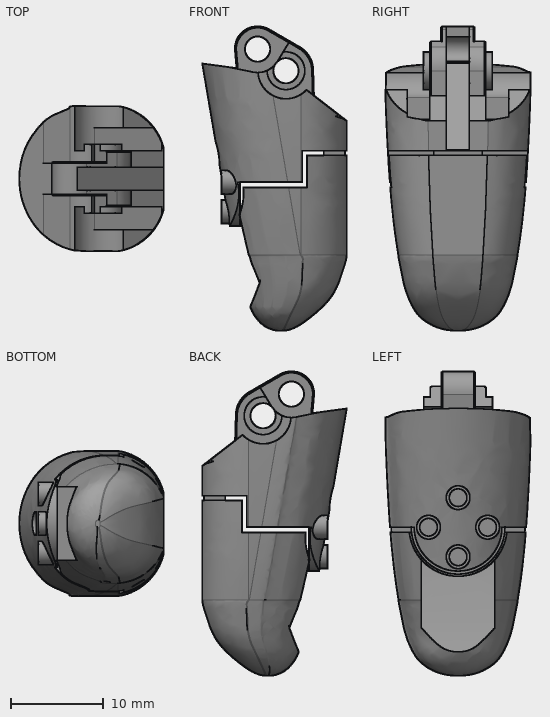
import cadquery as cq
import math

REACH = 32.8

FRONT_LEAN = 0.17
FRONT_TOP_X, FRONT_TOP_Z = -15.6, 28.8
FRONT_BULGE = 7.02
SIDE_FLAT_BACK_X = -4.95
TIP_TOP_Z = 8.2
WALL_LEVELS = [(29.53, 7.85), (26.25, 7.85), (21.65, 7.68), (16.08, 7.35), (12.47, 7.02), (TIP_TOP_Z, 6.43)]
TIP_LEVELS = [
    (7.7, -11.95, -0.05, 6.35),
    (7.22, -11.8, -0.2, 6.27),
    (6.73, -11.6, -0.35, 6.17),
    (5.25, -11.02, -0.85, 5.87),
    (3.95, -10.63, -1.5, 5.48),
    (2.62, -10.43, -2.6, 4.9),
    (1.65, -9.95, -3.7, 4.2),
    (0.82, -9.25, -4.8, 3.15),
    (0.33, -8.53, -5.65, 2.1),
    (0.1, -7.9, -6.27, 1.18),
    (0.0, -7.4, -6.9, 0.4),
]
MIN_SIDE_FLAT = 0.1
TIP_FRONT_SHARE = 0.6
BACK_FLAT_SHARE = 0.42
CORNER_MID_X, CORNER_MID_Y = 0.67, 0.64
ELLIPSE_SPANS = 12

LIP_SLOPE = -0.135
BACK_SLOPE = -0.771
BACK_TOP_Z = 22.6
PAST_BACK_X = 1.65

KNUCKLE_X, KNUCKLE_Z, KNUCKLE_R = -9.6, 30.35, 2.45
LUG_X, LUG_Z, LUG_R = -6.55, 28.02, 2.95
PIN_HOLE_R = 1.35
KNUCKLE_HALF = 1.85
LUG_HALF = 3.02
BOSS_R, BOSS_HALF = 2.05, 3.7
KNUCKLE_GAP_R = 2.53
KNUCKLE_GAP_FRONT_TILT = 11.5
KNUCKLE_GAP_REAR_TILT = 59.0
LUG_GAP_R = 3.02
LUG_GAP_TILT = 18.0
LUG_GAP_HALF = 5.48
HINGE_BASE_Z = 23.62
HINGE_FRONT_X, HINGE_REAR_X = -11.48, -3.48
EDGE_CHAMFER = 0.15

SLOT_HALF = 1.25
SLOT_FRONT_X = -9.32
SLOT_BACK_Z = 19.52

UPPER_STEP_X, UPPER_FRONT_Z, UPPER_BACK_Z = -4.8, 16.0, 19.4
LOWER_STEP_X, LOWER_FRONT_Z, LOWER_BACK_Z = -4.3, 15.45, 18.9
TAB_R, TAB_BACK_X = 4.72, -11.48
POCKET_R, POCKET_FLOOR_X = 5.28, -6.55
BORE_R, BORE_FLOOR_X = 5.05, -3.95
NECK_FRONT_X, NECK_BACK_X, NECK_HALF = -2.5, -0.2, 2.62

TUBE_R, TUBE_BORE_R, TUBE_PITCH_R = 1.28, 0.95, 3.18
TUBE_FACE_X = -13.52
TUBE_BORE_DEPTH = 1.65

PAD_HALF = 3.97
PAD_FLOOR = [(-10.43, 2.55), (-8.4, 8.2), (-6.73, 16.08)]


def polar(x, z, radius, angle):
    """Point at a distance and angle from (x, z) in the XZ plane."""
    return (x + radius * math.cos(angle), z + radius * math.sin(angle))


def prism(outline, y_min, y_max):
    """Closed XZ outline extruded from y_min to y_max."""
    return outline.close().extrude(y_min - y_max).translate((0, y_min, 0))


def xz():
    """Sketch plane for outlines in X and Z."""
    return cq.Workplane("XZ")


def bar(x, z, radius, half):
    """Cylinder along Y, centred on y = 0."""
    return xz().center(x, z).circle(radius).extrude(half, both=True)


def rod(y, z, radius, x_min, x_max):
    """Cylinder along X."""
    return cq.Workplane("YZ", origin=(x_min, y, z)).circle(radius).extrude(x_max - x_min)


def both_sides(outline, inner_half, outer_half):
    """Prisms of an XZ outline on the -Y and +Y sides."""
    solid = prism(outline, inner_half, outer_half)
    return solid.union(solid.mirror("XZ"))


def skin_section(z, front_x, back_x, half_width):
    """Wire of the skin at height z: half ellipse in front, flat sides, round back corners, flat back."""
    if z < TIP_TOP_Z:
        ellipse_x = front_x + TIP_FRONT_SHARE * (back_x - front_x)
        flat_back_x = ellipse_x + MIN_SIDE_FLAT
    else:
        ellipse_x = min(front_x + FRONT_BULGE, SIDE_FLAT_BACK_X - MIN_SIDE_FLAT)
        flat_back_x = SIDE_FLAT_BACK_X
    corner_x = flat_back_x + CORNER_MID_X * (back_x - flat_back_x)
    back_half = BACK_FLAT_SHARE * half_width
    corner_y = back_half + CORNER_MID_Y * (half_width - back_half)
    step = math.pi / ELLIPSE_SPANS
    ellipse = [
        (ellipse_x - (ellipse_x - front_x) * math.sin(i * step), -half_width * math.cos(i * step))
        for i in range(1, ELLIPSE_SPANS + 1)
    ]
    section = (
        cq.Workplane("XY", origin=(0, 0, z))
        .moveTo(ellipse_x, half_width)
        .lineTo(flat_back_x, half_width)
        .threePointArc((corner_x, corner_y), (back_x, back_half))
        .lineTo(back_x, -back_half)
        .threePointArc((corner_x, -corner_y), (flat_back_x, -half_width))
        .lineTo(ellipse_x, -half_width)
        .spline(ellipse, tangents=[(-1, 0), (1, 0)], includeCurrent=True)
    )
    return section.wire().val()


def front_x_at(z):
    """Front face of the wall at height z."""
    return FRONT_TOP_X + FRONT_LEAN * (FRONT_TOP_Z - z)


def build_skin():
    wall = [skin_section(z, front_x_at(z), 0.0, half) for z, half in WALL_LEVELS]
    tip = wall[-1:] + [skin_section(*level) for level in TIP_LEVELS]
    return cq.Workplane(cq.Solid.makeLoft(wall)).union(cq.Workplane(cq.Solid.makeLoft(tip)))


def build_roof_limit():
    """Space below the lip plane and the back slope, above the stepped split."""
    ridge_x = (FRONT_TOP_Z - LIP_SLOPE * FRONT_TOP_X - BACK_TOP_Z) / (BACK_SLOPE - LIP_SLOPE)
    ridge_z = BACK_TOP_Z + BACK_SLOPE * ridge_x
    outline = (
        xz()
        .moveTo(-REACH, FRONT_TOP_Z + LIP_SLOPE * (-REACH - FRONT_TOP_X))
        .lineTo(ridge_x, ridge_z)
        .lineTo(PAST_BACK_X, BACK_TOP_Z + BACK_SLOPE * PAST_BACK_X)
        .lineTo(PAST_BACK_X, UPPER_BACK_Z)
        .lineTo(UPPER_STEP_X, UPPER_BACK_Z)
        .lineTo(UPPER_STEP_X, UPPER_FRONT_Z)
        .lineTo(-REACH, UPPER_FRONT_Z)
    )
    return prism(outline, -REACH, REACH)


def build_hinge_outline():
    """Knuckle and lug circles wrapped by their upper common tangent, with legs into the body."""
    dx, dz = LUG_X - KNUCKLE_X, LUG_Z - KNUCKLE_Z
    normal = math.atan2(dz, dx) + math.acos((KNUCKLE_R - LUG_R) / math.hypot(dx, dz))
    front_mid = (normal + math.pi) / 2
    return (
        xz()
        .moveTo(KNUCKLE_X - KNUCKLE_R, KNUCKLE_Z)
        .threePointArc(
            polar(KNUCKLE_X, KNUCKLE_Z, KNUCKLE_R, front_mid),
            polar(KNUCKLE_X, KNUCKLE_Z, KNUCKLE_R, normal),
        )
        .lineTo(*polar(LUG_X, LUG_Z, LUG_R, normal))
        .threePointArc(polar(LUG_X, LUG_Z, LUG_R, normal / 2), (LUG_X + LUG_R, LUG_Z))
        .lineTo(HINGE_REAR_X, HINGE_BASE_Z)
        .lineTo(HINGE_FRONT_X, HINGE_BASE_Z)
    )


def build_hinge_part(half):
    """Hinge outline across the given half width, with chamfered side rims."""
    return prism(build_hinge_outline(), -half, half).faces("<Y or >Y").chamfer(EDGE_CHAMFER)


def build_knuckle_gap():
    """Room on both sides of the knuckle for the mating lugs, open to the front and top."""
    front = math.radians(KNUCKLE_GAP_FRONT_TILT)
    rear = math.radians(KNUCKLE_GAP_REAR_TILT)
    low = polar(KNUCKLE_X, KNUCKLE_Z, KNUCKLE_GAP_R, -math.pi / 2 - front)
    high = polar(KNUCKLE_X, KNUCKLE_Z, KNUCKLE_GAP_R, rear - math.pi / 2)
    middle = polar(KNUCKLE_X, KNUCKLE_Z, KNUCKLE_GAP_R, (rear - front) / 2 - math.pi / 2)
    outline = (
        xz()
        .moveTo(*polar(*low, REACH, math.pi - front))
        .lineTo(*low)
        .threePointArc(middle, high)
        .lineTo(*polar(*high, REACH, rear))
    )
    return both_sides(outline, KNUCKLE_HALF - EDGE_CHAMFER, REACH)


def build_lug_gap():
    """Room outside the lugs for the mating knuckles, with a ramp that runs out at the back."""
    tilt = math.radians(LUG_GAP_TILT)
    ramp_start = polar(LUG_X, LUG_Z, LUG_GAP_R, -math.pi / 2 - tilt)
    ramp_end = polar(*ramp_start, REACH, -tilt)
    ramp = (
        xz()
        .moveTo(*ramp_start)
        .lineTo(*ramp_end)
        .lineTo(ramp_end[0], REACH)
        .lineTo(ramp_start[0], REACH)
    )
    groove = (
        xz()
        .moveTo(LUG_X + LUG_GAP_R, LUG_Z)
        .threePointArc((LUG_X, LUG_Z - LUG_GAP_R), (LUG_X - LUG_GAP_R, LUG_Z))
        .lineTo(LUG_X - LUG_GAP_R, REACH)
        .lineTo(LUG_X + LUG_GAP_R, REACH)
    )
    return both_sides(ramp, LUG_HALF, LUG_GAP_HALF).union(both_sides(groove, LUG_HALF, REACH))


def build_tendon_slot():
    """Slot open to the top and back; its 45 degree floor runs out just above the split."""
    outline = (
        xz()
        .moveTo(SLOT_FRONT_X, REACH)
        .lineTo(SLOT_FRONT_X, SLOT_BACK_Z - SLOT_FRONT_X)
        .lineTo(REACH, SLOT_BACK_Z - REACH)
        .lineTo(REACH, REACH)
    )
    return prism(outline, -SLOT_HALF, SLOT_HALF)


def tube_places():
    """(y, z) centres of the four tubes."""
    places = [(0, TUBE_PITCH_R), (TUBE_PITCH_R, 0), (0, -TUBE_PITCH_R), (-TUBE_PITCH_R, 0)]
    return [(y, UPPER_FRONT_Z + z) for y, z in places]


def build_tab(skin):
    """Half disc that hangs from the front of the upper body, with the curved skin as its front."""
    disc = rod(0, UPPER_FRONT_Z, TAB_R, -REACH, TAB_BACK_X)
    return disc.intersect(skin)


def build_upper(skin):
    upper = skin.intersect(build_roof_limit()).union(build_tab(skin))
    upper = upper.union(build_hinge_part(LUG_HALF)).cut(build_lug_gap())
    upper = upper.union(bar(LUG_X, LUG_Z, BOSS_R, BOSS_HALF)).cut(build_knuckle_gap())
    upper = upper.union(build_hinge_part(KNUCKLE_HALF)).cut(build_tendon_slot())
    for x, z in [(KNUCKLE_X, KNUCKLE_Z), (LUG_X, LUG_Z)]:
        upper = upper.cut(bar(x, z, PIN_HOLE_R, REACH))
    for y, z in tube_places():
        upper = upper.cut(rod(y, z, TUBE_R, -REACH, TUBE_FACE_X))
        upper = upper.union(rod(y, z, TUBE_R, TUBE_FACE_X, TAB_BACK_X))
        upper = upper.cut(rod(y, z, TUBE_BORE_R, TUBE_FACE_X, TUBE_FACE_X + TUBE_BORE_DEPTH))
    return upper


def build_lower(skin):
    outline = (
        xz()
        .moveTo(-REACH, -REACH)
        .lineTo(-REACH, LOWER_FRONT_Z)
        .lineTo(LOWER_STEP_X, LOWER_FRONT_Z)
        .lineTo(LOWER_STEP_X, LOWER_BACK_Z)
        .lineTo(REACH, LOWER_BACK_Z)
        .lineTo(REACH, -REACH)
    )
    lower = skin.intersect(prism(outline, -REACH, REACH))
    lower = lower.cut(rod(0, UPPER_FRONT_Z, POCKET_R, -REACH, POCKET_FLOOR_X))
    lower = lower.cut(rod(0, UPPER_FRONT_Z, BORE_R, -REACH, BORE_FLOOR_X))
    return lower.cut(build_pad_recess()).union(build_neck())


def build_pad_recess():
    """Finger pad hollow with a concave floor, open to the front."""
    low, mid, high = PAD_FLOOR
    outline = (
        xz()
        .moveTo(*low)
        .threePointArc(mid, high)
        .lineTo(-REACH, high[1])
        .lineTo(-REACH, low[1])
    )
    return prism(outline, -PAD_HALF, PAD_HALF)


def build_neck():
    """Short post that closes the split near the back."""
    length = NECK_BACK_X - NECK_FRONT_X
    base = cq.Workplane("XY", origin=(NECK_FRONT_X + length / 2, 0, LOWER_BACK_Z))
    return base.rect(length, 2 * NECK_HALF).extrude(UPPER_BACK_Z - LOWER_BACK_Z)


skin = build_skin()
upper_body = build_upper(skin)
lower_body = build_lower(skin)
result = cq.Compound.makeCompound([upper_body.val(), lower_body.val()])